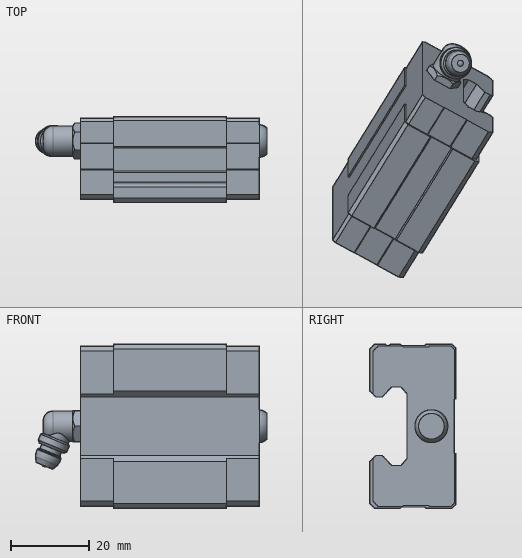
import cadquery as cq
import math

BODY_LENGTH = 45.75
CAP_LENGTH = 8.5
BLOCK_LENGTH = BODY_LENGTH - 2 * CAP_LENGTH
BLOCK_DEPTH = 22.0
BLOCK_HEIGHT = 42.0
BACK_CHAMFER = 1.0
FRONT_CHAMFER = 1.25

BACK_RELIEF_DEPTH = 0.35
BACK_RELIEF_Y = BLOCK_DEPTH - BACK_RELIEF_DEPTH
BACK_RELIEF_HALF_HEIGHT = 6.95
SIDE_RELIEF_DEPTH = 0.35
SIDE_RELIEF_Y = (7.75, 14.4)

GROOVE_Y = 4.6
GROOVE_WIDTH = 1.25
GROOVE_DEPTH = 0.4

CAP_FRONT_INSET = 0.85
CAP_SIDE_INSET = 0.55
CAP_BACK_CHAMFER = 0.85
CAP_FRONT_CHAMFER = 1.3
CAP_RELIEF_DEPTH = 0.2
CAP_RELIEF_Y = (8.4, 15.3)

CHANNEL_FLOOR_Y = 9.5
CHANNEL_FLOOR_Z = 8.25
CHANNEL_WIDE_Z = 10.0
CHANNEL_WIDE_Y = (5.65, 8.0)
CHANNEL_LIP_Z = 7.45
CHANNEL_LIP_Y = (1.6, 3.2)
CHANNEL_MOUTH_Z = 9.0

PORT_Y = 15.75
PLUG_LENGTH = 1.95
PLUG_DIAMETER = 8.4
PLUG_END_DIAMETER = 6.6
PLUG_BULGE_X = 1.1
PLUG_BULGE_DIAMETER = 7.8

HEX_LENGTH = 2.0
HEX_ACROSS_FLATS = 8.0
HEX_CHAMFER_ANGLE = 40
ELBOW_DIAMETER = 7.8
ELBOW_REACH = 9.55
ELBOW_ROUND = 2.5

NIPPLE_TILT = 22.5
NIPPLE_PIVOT_X = -5.05
STEM_RADIUS = 3.5
COLLAR_RADIUS = 8.0 / 2
COLLAR_TOP = 3.4
COLLAR_EDGE_TOP = 3.85
COLLAR_EDGE_BOTTOM = 5.45
COLLAR_BOTTOM = 6.1
COLLAR_BOTTOM_RADIUS = 3.45
NECK_RADIUS = 5.5 / 2
HEAD_TOP = 7.25
HEAD_TOP_RADIUS = 2.9
HEAD_BEVEL_RADIUS = 3.2
HEAD_BEVEL_END = 7.5
HEAD_RADIUS = 6.6 / 2
HEAD_EDGE = 7.75
HEAD_BULGE = (3.29, 8.65)
HEAD_TAPER_START = (3.0, 9.65)
TIP_RADIUS = 2.3
TIP_END = 10.95
BALL_RADIUS = 0.8
BALL_RISE = 0.25


def extrude_along_x(profile_points, x_start, length):
    """Closed (y, z) profile extruded towards +X."""
    plane = cq.Workplane("YZ", origin=(x_start, 0, 0))
    return plane.polyline(profile_points).close().extrude(length)


def mirrored(upper_points):
    """Complete an upper half outline with its reflection about Z = 0."""
    lower_points = [(y, -z) for y, z in reversed(upper_points)]
    return upper_points + lower_points


def side_outline(y_front, y_back, z_top, front_chamfer, back_chamfer, relief_y, relief_depth):
    """Upper half of a body outline, front to back, with a relief band on its side."""
    relief_front, relief_back = relief_y
    return [
        (y_front, z_top - front_chamfer),
        (y_front + front_chamfer, z_top),
        (relief_front, z_top),
        (relief_front + relief_depth, z_top - relief_depth),
        (relief_back - relief_depth, z_top - relief_depth),
        (relief_back, z_top),
        (y_back - back_chamfer, z_top),
        (y_back, z_top - back_chamfer),
    ]


def make_block():
    outline = side_outline(
        0, BLOCK_DEPTH, BLOCK_HEIGHT / 2, FRONT_CHAMFER, BACK_CHAMFER, SIDE_RELIEF_Y, SIDE_RELIEF_DEPTH
    )
    outline.append((BLOCK_DEPTH, BACK_RELIEF_HALF_HEIGHT))
    outline.append((BACK_RELIEF_Y, BACK_RELIEF_HALF_HEIGHT))
    block = extrude_along_x(mirrored(outline), CAP_LENGTH, BLOCK_LENGTH)

    groove_radius = ((GROOVE_WIDTH / 2) ** 2 + GROOVE_DEPTH**2) / (2 * GROOVE_DEPTH)
    groove_z = BLOCK_HEIGHT / 2 - GROOVE_DEPTH + groove_radius
    groove = (
        cq.Workplane("YZ", origin=(CAP_LENGTH, GROOVE_Y, groove_z))
        .circle(groove_radius)
        .extrude(BLOCK_LENGTH)
    )
    return block.cut(groove)


def make_cap(x_start):
    outline = side_outline(
        CAP_FRONT_INSET,
        BACK_RELIEF_Y,
        BLOCK_HEIGHT / 2 - CAP_SIDE_INSET,
        CAP_FRONT_CHAMFER,
        CAP_BACK_CHAMFER,
        CAP_RELIEF_Y,
        CAP_RELIEF_DEPTH,
    )
    return extrude_along_x(mirrored(outline), x_start, CAP_LENGTH)


def make_rail_channel():
    lip_front, lip_back = CHANNEL_LIP_Y
    wide_front, wide_back = CHANNEL_WIDE_Y
    upper = [
        (0, CHANNEL_MOUTH_Z),
        (lip_front, CHANNEL_LIP_Z),
        (lip_back, CHANNEL_LIP_Z),
        (wide_front, CHANNEL_WIDE_Z),
        (wide_back, CHANNEL_WIDE_Z),
        (CHANNEL_FLOOR_Y, CHANNEL_FLOOR_Z),
    ]
    return extrude_along_x(mirrored(upper), 0, BODY_LENGTH)


def make_plug():
    """Domed plug on the +X cap."""
    r_base = PLUG_DIAMETER / 2
    r_end = PLUG_END_DIAMETER / 2
    bulge = (PLUG_BULGE_X, PLUG_BULGE_DIAMETER / 2)
    return (
        cq.Workplane("XY", origin=(BODY_LENGTH, PORT_Y, 0))
        .lineTo(0, r_base)
        .threePointArc(bulge, (PLUG_LENGTH, r_end))
        .lineTo(PLUG_LENGTH, 0)
        .close()
        .revolve(360, (0, 0, 0), (1, 0, 0))
    )


def make_elbow():
    """Hexagon foot and round elbow on the -X cap, pointing towards -X."""
    foot_plane = cq.Workplane("YZ", origin=(0, PORT_Y, 0))
    corner_diameter = HEX_ACROSS_FLATS / math.cos(math.pi / 6)
    hexagon = foot_plane.polygon(6, corner_diameter).extrude(-HEX_LENGTH)

    face_radius = ELBOW_DIAMETER / 2
    cone_growth = HEX_LENGTH / math.tan(math.radians(HEX_CHAMFER_ANGLE))
    corner_cone = (
        cq.Workplane("XY", origin=(0, PORT_Y, 0))
        .lineTo(0, face_radius + cone_growth)
        .lineTo(-HEX_LENGTH, face_radius)
        .lineTo(-HEX_LENGTH, 0)
        .close()
        .revolve(360, (0, 0, 0), (1, 0, 0))
    )
    barrel = foot_plane.circle(ELBOW_DIAMETER / 2).extrude(-ELBOW_REACH)
    barrel = barrel.faces("<X").edges().fillet(ELBOW_ROUND)
    return hexagon.intersect(corner_cone).union(barrel)


def make_nipple():
    """Revolved nipple; the profile is (radius, distance from the elbow axis)."""
    tilt = math.radians(NIPPLE_TILT)
    outward = (-math.sin(tilt), 0, -math.cos(tilt))
    radial = (-math.cos(tilt), 0, math.sin(tilt))
    normal = cq.Vector(*radial).cross(cq.Vector(*outward))
    plane = cq.Plane(origin=(NIPPLE_PIVOT_X, PORT_Y, 0), xDir=radial, normal=normal)
    ball_sphere_radius = (BALL_RADIUS**2 + BALL_RISE**2) / (2 * BALL_RISE)
    ball_mid_radius = BALL_RADIUS / 2
    ball_mid = TIP_END + BALL_RISE - ball_sphere_radius
    ball_mid += math.sqrt(ball_sphere_radius**2 - ball_mid_radius**2)
    return (
        cq.Workplane(plane)
        .lineTo(STEM_RADIUS, 0)
        .lineTo(STEM_RADIUS, COLLAR_TOP)
        .lineTo(COLLAR_RADIUS, COLLAR_EDGE_TOP)
        .lineTo(COLLAR_RADIUS, COLLAR_EDGE_BOTTOM)
        .lineTo(COLLAR_BOTTOM_RADIUS, COLLAR_BOTTOM)
        .lineTo(NECK_RADIUS, COLLAR_BOTTOM)
        .lineTo(NECK_RADIUS, HEAD_TOP)
        .lineTo(HEAD_TOP_RADIUS, HEAD_TOP)
        .lineTo(HEAD_BEVEL_RADIUS, HEAD_BEVEL_END)
        .lineTo(HEAD_RADIUS, HEAD_EDGE)
        .threePointArc(HEAD_BULGE, HEAD_TAPER_START)
        .lineTo(TIP_RADIUS, TIP_END)
        .lineTo(BALL_RADIUS, TIP_END)
        .threePointArc((ball_mid_radius, ball_mid), (0, TIP_END + BALL_RISE))
        .close()
        .revolve(360, (0, 0, 0), (0, 1, 0))
    )


body = make_block()
for cap_start in (0, BODY_LENGTH - CAP_LENGTH):
    body = body.union(make_cap(cap_start))
body = body.cut(make_rail_channel())

result = body.union(make_plug()).union(make_elbow()).union(make_nipple())